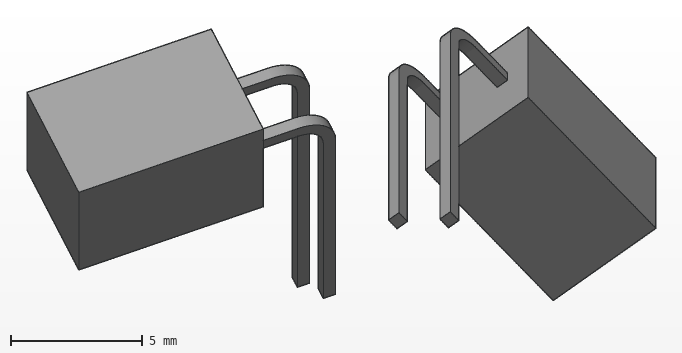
import cadquery as cq

total_height = 16.51
total_depth = 11.05

body_width = 5.09
body_depth = 7.63
body_height = body_width

lead_size = 0.51
lead_pitch = body_width / 2
bend_outer_radius = 1.52
bend_inner_radius = bend_outer_radius - lead_size
lead_length_difference = 2.55
long_lead_bottom = -total_height
short_lead_bottom = long_lead_bottom + lead_length_difference

lead_top = -body_height / 2 + lead_size / 2
lead_underside = lead_top - lead_size
lead_back = total_depth
lead_front = lead_back - lead_size
bend_center_y = lead_back - bend_outer_radius
bend_center_z = lead_top - bend_outer_radius


def make_body():
    return cq.Workplane("XY").box(
        body_width, body_depth, body_height, centered=(True, False, False)
    ).translate((0, 0, -body_height))


def make_lead(center_x, bottom):
    """Bent lead: side outline in the YZ plane, extruded across its width."""
    return (
        cq.Workplane("YZ", origin=(center_x, 0, 0))
        .moveTo(body_depth, lead_top)
        .lineTo(bend_center_y, lead_top)
        .radiusArc((lead_back, bend_center_z), bend_outer_radius)
        .lineTo(lead_back, bottom)
        .lineTo(lead_front, bottom)
        .lineTo(lead_front, bend_center_z)
        .radiusArc((bend_center_y, lead_underside), -bend_inner_radius)
        .lineTo(body_depth, lead_underside)
        .close()
        .extrude(lead_size / 2, both=True)
    )


long_lead = make_lead(-lead_pitch / 2, long_lead_bottom)
short_lead = make_lead(lead_pitch / 2, short_lead_bottom)

result = make_body().union(long_lead).union(short_lead)